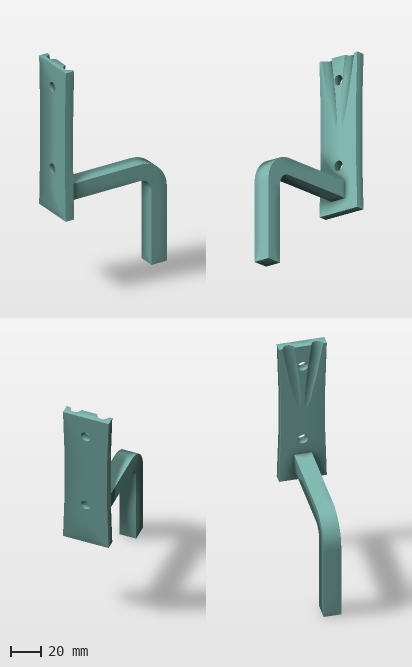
import cadquery as cq
import math

plate_width = 32.5
plate_thickness = 6.5
plate_height = 109.0
waist_depth = 1.25

hole_diameter = 7.0
hole_spacing = 60.0
top_hole_inset = 16.5

bar_size = 12.0
inner_bend_radius = 9.0
leg_top = 55.0
total_depth = 86.0
total_height = 164.5

groove_radius = 4.0
groove_center_x = 9.75
groove_center_y = 6.9
groove_plan_angle = 25.0
groove_lean = 9.4
groove_length = 60.0
groove_overshoot = 5.0

bend_radius = inner_bend_radius + bar_size / 2
plate_top = total_height
plate_bottom = plate_top - plate_height
bar_axis_z = leg_top + bend_radius
bar_axis_y = total_depth - bar_size / 2


def make_plate():
    half = plate_width / 2
    waist = half - waist_depth
    mid_z = (plate_top + plate_bottom) / 2
    return (
        cq.Workplane("XZ")
        .moveTo(-half, plate_bottom)
        .lineTo(half, plate_bottom)
        .threePointArc((waist, mid_z), (half, plate_top))
        .lineTo(-half, plate_top)
        .threePointArc((-waist, mid_z), (-half, plate_bottom))
        .close()
        .extrude(-plate_thickness)
    )


def make_bar():
    path = (
        cq.Workplane("YZ")
        .moveTo(plate_thickness, bar_axis_z)
        .lineTo(bar_axis_y - bend_radius, bar_axis_z)
        .tangentArcPoint((bend_radius, -bend_radius))
        .lineTo(bar_axis_y, 0)
    )
    return (
        cq.Workplane("XZ", origin=(0, plate_thickness, bar_axis_z))
        .rect(bar_size, bar_size)
        .sweep(path)
    )


def make_holes():
    top_hole_z = plate_top - top_hole_inset
    return (
        cq.Workplane("XZ")
        .pushPoints([(0, top_hole_z), (0, top_hole_z - hole_spacing)])
        .circle(hole_diameter / 2)
        .extrude(-plate_thickness)
    )


def make_groove(side):
    plan = math.radians(groove_plan_angle)
    lean = math.radians(groove_lean)
    axis = cq.Vector(
        -side * math.sin(lean) * math.cos(plan),
        math.sin(lean) * math.sin(plan),
        -math.cos(lean),
    )
    crossing = cq.Vector(side * groove_center_x, groove_center_y, plate_top)
    start = crossing - axis * groove_overshoot
    cutter_length = groove_overshoot + groove_length
    return cq.Workplane(cq.Solid.makeCylinder(groove_radius, cutter_length, start, axis))


plate = make_plate().cut(make_holes())
for side in (-1, 1):
    plate = plate.cut(make_groove(side))

result = plate.union(make_bar())